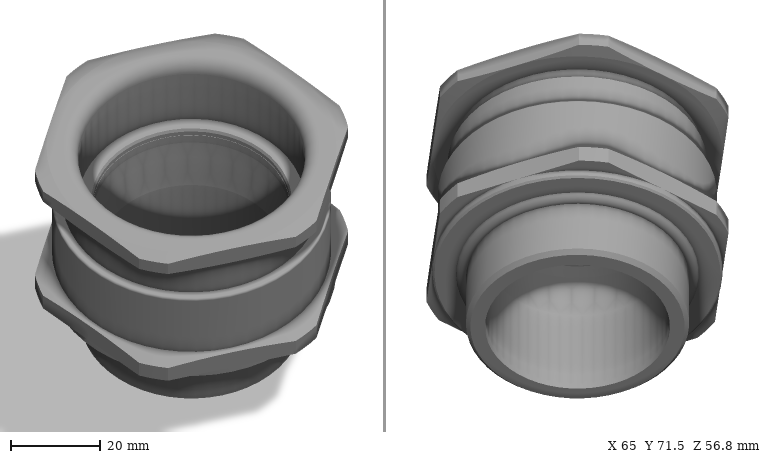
import cadquery as cq
import math

ACROSS_FLATS = 65.0
CORNER_DIAMETER = 71.5
TOTAL_HEIGHT = 56.8
FLAT_RADIUS = ACROSS_FLATS / 2
CORNER_RADIUS = CORNER_DIAMETER / 2

HEAD_BOTTOM = 52.3
HEAD_BEVEL_DROP = 0.6
NECK_BOTTOM = 49.25
NECK_RADIUS = 28.2
SHANK_RADIUS = 29.1
SCREW_BOTTOM = 37.05
SCREW_BORE_RADIUS = 25.45
MOUTH_FILLET = 3.2
LIP_TOP = 38.8
LIP_RADIUS = 22.2
LIP_CHAMFER_WIDTH = 0.35
LIP_CHAMFER_DEPTH = 0.65

STUB_RADIUS = 25.0
STUB_CHAMFER = 1.0
FLANGE_BOTTOM = 15.95
FLANGE_CHAMFER = 0.4
HEX_BOTTOM = 17.9
HEX_CORNER_TOP = 22.0
BARREL_BOTTOM = 23.0
BARREL_TOP = 40.2
BARREL_RADIUS = 31.3
BARREL_FILLET = 0.5

SEAT_RADIUS = 22.1
TAPER_TOP = 34.7
TAPER_BOTTOM = 22.2
THROUGH_RADIUS = 20.7

ORING_SECTION_RADIUS = 2.0
ORING_CENTRE_RADIUS = 25.3
ORING_BOTTOM = 14.5


def cylinder(radius, bottom, top):
    """Solid cylinder on the Z axis between two heights."""
    return cq.Workplane("XY").workplane(offset=bottom).circle(radius).extrude(top - bottom)


def hexagon(bottom, top):
    """Hexagonal prism with two of its flats facing +X and -X."""
    sharp_corner_diameter = ACROSS_FLATS / math.cos(math.pi / 6)
    prism = cq.Workplane("XY").workplane(offset=bottom).polygon(6, sharp_corner_diameter)
    return prism.extrude(top - bottom).rotate((0, 0, 0), (0, 0, 1), 30)


def revolve_profile(points):
    """Revolve a closed polygon of (radius, height) points about the Z axis."""
    return cq.Workplane("XZ").polyline(points).close().revolve(360, (0, 0, 0), (0, 1, 0))


def make_screw_head():
    """Hexagon with rounded corners, bevelled towards the corners on both faces."""
    envelope = revolve_profile([
        (0, HEAD_BOTTOM),
        (FLAT_RADIUS, HEAD_BOTTOM),
        (CORNER_RADIUS, HEAD_BOTTOM + HEAD_BEVEL_DROP),
        (CORNER_RADIUS, TOTAL_HEIGHT - HEAD_BEVEL_DROP),
        (FLAT_RADIUS, TOTAL_HEIGHT),
        (0, TOTAL_HEIGHT),
    ])
    return hexagon(HEAD_BOTTOM, TOTAL_HEIGHT).intersect(envelope)


def make_screw_opening():
    """Wide bore with a flared mouth, then the chamfered hole through the lip."""
    mouth_radius = SCREW_BORE_RADIUS + MOUTH_FILLET
    bore_top = TOTAL_HEIGHT - MOUTH_FILLET
    flare_offset = MOUTH_FILLET * (1 - math.cos(math.pi / 4))
    flare_middle = (SCREW_BORE_RADIUS + flare_offset, TOTAL_HEIGHT - flare_offset)
    return (
        cq.Workplane("XZ")
        .moveTo(0, SCREW_BOTTOM)
        .lineTo(LIP_RADIUS, SCREW_BOTTOM)
        .lineTo(LIP_RADIUS, LIP_TOP - LIP_CHAMFER_DEPTH)
        .lineTo(LIP_RADIUS + LIP_CHAMFER_WIDTH, LIP_TOP)
        .lineTo(SCREW_BORE_RADIUS, LIP_TOP)
        .lineTo(SCREW_BORE_RADIUS, bore_top)
        .threePointArc(flare_middle, (mouth_radius, TOTAL_HEIGHT))
        .lineTo(0, TOTAL_HEIGHT)
        .close()
        .revolve(360, (0, 0, 0), (0, 1, 0))
    )


def make_screw():
    shank = cylinder(SHANK_RADIUS, SCREW_BOTTOM, NECK_BOTTOM)
    neck = cylinder(NECK_RADIUS, NECK_BOTTOM, HEAD_BOTTOM)
    return make_screw_head().union(neck).union(shank).cut(make_screw_opening())


def make_oring():
    """Torus with its inner side flattened against the stub."""
    torus = cq.Workplane("XY").add(
        cq.Solid.makeTorus(ORING_CENTRE_RADIUS, ORING_SECTION_RADIUS)
    )
    torus = torus.translate((0, 0, ORING_BOTTOM + ORING_SECTION_RADIUS))
    return torus.cut(cylinder(STUB_RADIUS, 0, BARREL_BOTTOM))


def make_housing_hexagon():
    """Hexagon with rounded corners, its top sloping down from the barrel."""
    envelope = revolve_profile([
        (0, HEX_BOTTOM),
        (CORNER_RADIUS, HEX_BOTTOM),
        (CORNER_RADIUS, HEX_CORNER_TOP),
        (BARREL_RADIUS, BARREL_BOTTOM),
        (0, BARREL_BOTTOM),
    ])
    return hexagon(HEX_BOTTOM, BARREL_BOTTOM).intersect(envelope)


def make_housing_bore():
    """Through hole, taper and straight seat below the screw."""
    return revolve_profile([
        (0, 0),
        (THROUGH_RADIUS, 0),
        (THROUGH_RADIUS, TAPER_BOTTOM),
        (SEAT_RADIUS, TAPER_TOP),
        (SEAT_RADIUS, SCREW_BOTTOM),
        (0, SCREW_BOTTOM),
    ])


def make_housing(oring):
    stub = cylinder(STUB_RADIUS, 0, FLANGE_BOTTOM).faces("<Z").chamfer(STUB_CHAMFER)
    flange = cylinder(FLAT_RADIUS, FLANGE_BOTTOM, HEX_BOTTOM).faces("<Z").chamfer(FLANGE_CHAMFER)
    barrel = cylinder(BARREL_RADIUS, BARREL_BOTTOM, BARREL_TOP).faces(">Z").edges().fillet(BARREL_FILLET)
    housing = stub.union(flange).union(make_housing_hexagon()).union(barrel)
    screw_socket = cylinder(SHANK_RADIUS, SCREW_BOTTOM, BARREL_TOP)
    return housing.cut(make_housing_bore()).cut(screw_socket).cut(oring)


screw = make_screw()
oring = make_oring()
housing = make_housing(oring)

result = cq.Compound.makeCompound([screw.val(), housing.val(), oring.val()])